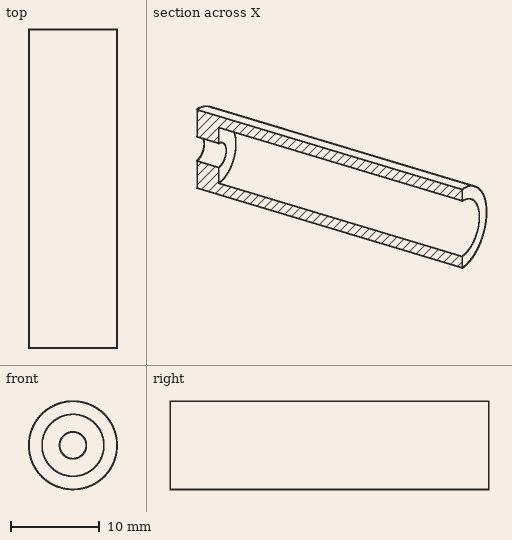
import cadquery as cq

length = 36.0
outer_diameter = 10.0
bore_diameter = 7.0
hole_diameter = 3.0
floor_thickness = 3.0
bore_depth = length - floor_thickness


def cylinder_along_y(diameter, start_y, height):
    """Solid cylinder centred on the Y axis, from start_y towards +Y."""
    return cq.Workplane("XZ", origin=(0, start_y, 0)).circle(diameter / 2).extrude(-height)


front_y = -length / 2

body = cylinder_along_y(outer_diameter, front_y, length)
bore = cylinder_along_y(bore_diameter, front_y, bore_depth)
through_hole = cylinder_along_y(hole_diameter, front_y, length)

result = body.cut(bore).cut(through_hole)